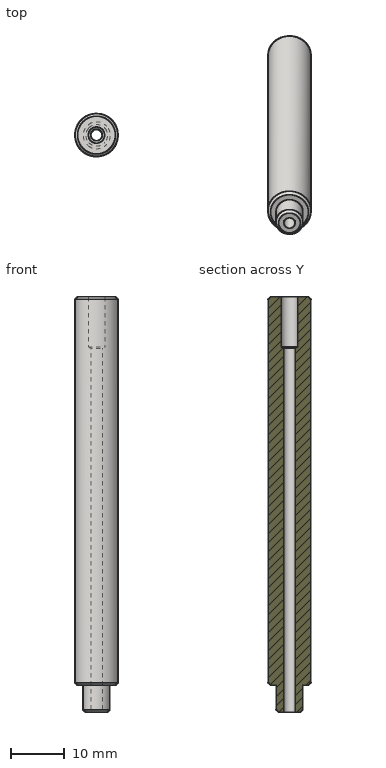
import cadquery as cq
import math

total_length = 77.0
body_diameter = 8.0
spigot_diameter = 5.0
spigot_length = 5.0
edge_chamfer = 0.5

bore_diameter = 3.0
bore_depth = 9.25
through_diameter = 2.1
drill_point_angle = 118
taper_length = (bore_diameter - through_diameter) / 2 / math.tan(math.radians(drill_point_angle / 2))

body_length = total_length - spigot_length


def make_spigot():
    """Reduced lower end, chamfered at its tip."""
    spigot = cq.Workplane("XY").circle(spigot_diameter / 2).extrude(spigot_length)
    return spigot.faces("<Z").chamfer(edge_chamfer)


def make_body():
    """Main rod, chamfered at both ends."""
    base = cq.Workplane("XY").workplane(offset=spigot_length)
    body = base.circle(body_diameter / 2).extrude(body_length)
    return body.faces("<Z or >Z").chamfer(edge_chamfer)


def make_hole():
    """Solid of revolution that is removed along the axis."""
    bore_floor = total_length - bore_depth
    half_profile = (
        cq.Workplane("XZ")
        .lineTo(through_diameter / 2, 0)
        .lineTo(through_diameter / 2, bore_floor - taper_length)
        .lineTo(bore_diameter / 2, bore_floor)
        .lineTo(bore_diameter / 2, total_length)
        .lineTo(0, total_length)
        .close()
    )
    return half_profile.revolve(360, (0, 0, 0), (0, 1, 0))


result = make_body().union(make_spigot()).cut(make_hole())